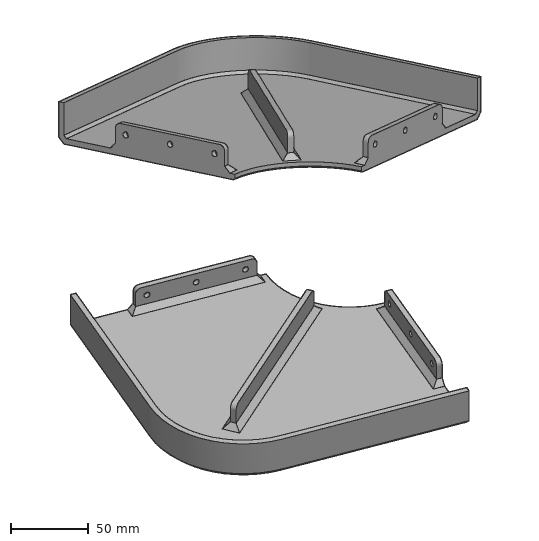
import cadquery as cq

SIDE = 195.5
HEIGHT = 28.0
FLOOR = 4.0
WALL = 4.0
OUTER_RADIUS = 65.0
OUTER_CHAMFER = 4.0
INNER_CHAMFER = 2.0

BEND_RADIUS = 58.5
BEND_CHAMFER = 1.2

RIB_TOP = 22.0
RIB_THICKNESS = 4.0
RIB_CORNER_RADIUS = 4.0
RIB_FOOT = 4.0
RIB_START = 66.5
TAB_LENGTH = 85.0
DIAGONAL_LENGTH = 135.0
DIAGONAL_ANGLE = 45.0

HOLE_DIAMETER = 4.0
HOLE_HEIGHT = 15.0
HOLE_COUNT = 3
HOLE_END_MARGIN = 8.0
HOLE_PITCH = (TAB_LENGTH - 2 * HOLE_END_MARGIN) / (HOLE_COUNT - 1)

BEND_AXIS = (SIDE, 0, 0)


def bend_block(inset, base):
    """Block with one rounded corner, inset from the two walled sides."""
    length = SIDE - inset
    block = cq.Workplane("XY").box(length, length, HEIGHT - base, centered=False)
    block = block.edges("|Z and <X and >Y").fillet(OUTER_RADIUS - inset)
    return block.translate((inset, 0, base))


def chamfer_walled_edges(block, size):
    """Bevel the bottom edge running along the left side, the round corner and the back."""
    return block.faces("<Z").edges("<X").chamfer(size)


def make_tray():
    outside = chamfer_walled_edges(bend_block(0, 0), OUTER_CHAMFER)
    inside = chamfer_walled_edges(bend_block(WALL, FLOOR), INNER_CHAMFER)
    return outside.cut(inside)


def make_rib(length):
    """Rib along -X from the bend axis, centred on Y = 0, with a sloping foot all round."""
    height = RIB_TOP - FLOOR
    middle = -RIB_START - length / 2
    blade = (
        cq.Workplane("XY", origin=(middle, 0, FLOOR))
        .rect(length, RIB_THICKNESS)
        .extrude(height)
        .edges("|Y and >Z")
        .fillet(RIB_CORNER_RADIUS)
    )
    foot = (
        cq.Workplane("XY", origin=(middle, 0, FLOOR))
        .rect(length + 2 * RIB_FOOT, RIB_THICKNESS + 2 * RIB_FOOT)
        .workplane(offset=RIB_FOOT)
        .rect(length, RIB_THICKNESS)
        .loft(ruled=True)
    )
    return blade.union(foot)


def make_tab():
    """End tab on the front edge, outer face flush at Y = 0, placed relative to the bend axis."""
    reach = RIB_START + TAB_LENGTH + RIB_FOOT
    tab = make_rib(TAB_LENGTH).translate((0, RIB_THICKNESS / 2, 0))
    kept = cq.Workplane("XY").box(reach, reach, HEIGHT, centered=False).translate((-reach, 0, 0))
    holes = (
        cq.Workplane("XZ", origin=(-RIB_START - TAB_LENGTH / 2, 0, HOLE_HEIGHT))
        .rarray(HOLE_PITCH, 1, HOLE_COUNT, 1)
        .circle(HOLE_DIAMETER / 2)
        .extrude(-RIB_THICKNESS)
    )
    return tab.intersect(kept).cut(holes)


def make_bend_cut():
    """Cylinder around the bend axis, flared at the bottom."""
    cylinder = cq.Workplane("XY").circle(BEND_RADIUS).extrude(HEIGHT)
    flare = (
        cq.Workplane("XY")
        .circle(BEND_RADIUS + BEND_CHAMFER)
        .workplane(offset=BEND_CHAMFER)
        .circle(BEND_RADIUS)
        .loft()
    )
    return cylinder.union(flare).translate(BEND_AXIS)


front_tab = make_tab().translate(BEND_AXIS)
side_tab = (
    make_tab()
    .mirror("XZ")
    .rotate((0, 0, 0), (0, 0, 1), -2 * DIAGONAL_ANGLE)
    .translate(BEND_AXIS)
)
diagonal_rib = (
    make_rib(DIAGONAL_LENGTH)
    .rotate((0, 0, 0), (0, 0, 1), -DIAGONAL_ANGLE)
    .translate(BEND_AXIS)
)

result = make_tray().cut(make_bend_cut()).union(front_tab).union(side_tab).union(diagonal_rib)